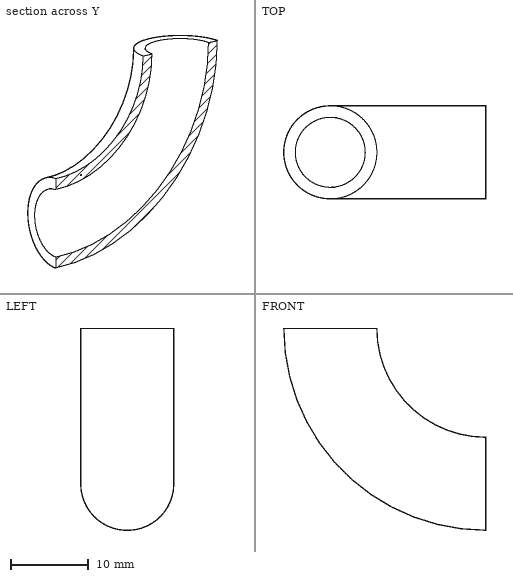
import cadquery as cq

outer_diameter = 12.0
wall_thickness = 1.5
bend_radius = 20.0
bend_angle = 90.0

inner_diameter = outer_diameter - 2 * wall_thickness


def make_elbow():
    """Pipe elbow: one open end faces +Z, the other faces +X.

    The centreline starts at the origin. The ring section lies in the XY plane
    and sweeps down about an axis parallel to Y, at X = bend_radius.
    """
    ring_section = (
        cq.Workplane("XY")
        .circle(outer_diameter / 2)
        .circle(inner_diameter / 2)
    )
    axis_start = (bend_radius, 0, 0)
    axis_end = (bend_radius, -1, 0)
    return ring_section.revolve(bend_angle, axis_start, axis_end)


result = make_elbow()